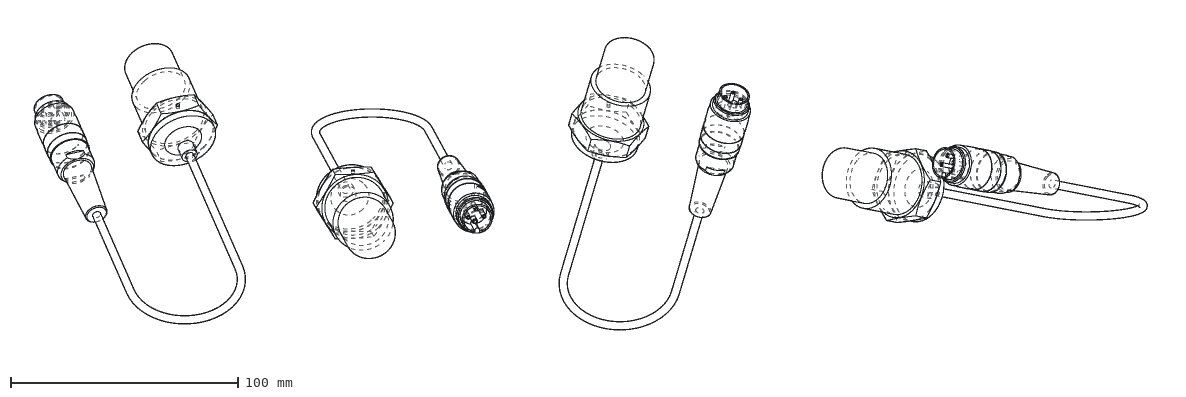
import cadquery as cq
import math

overall_length = 160.8
plug_spacing = 50.0
bend_radius = plug_spacing / 2
cable_dia = 3.7
plug_y = -plug_spacing
bend_x = overall_length - bend_radius - cable_dia / 2

nose_end = 19.5
hex_start = 39.4
hex_end = 48.5
flange_end = 52.1
cone_end = 55.8
sensor_end = 61.8
sensor_nose_dia = 22.5
sensor_nose_fillet = 2.1
sensor_body_dia = 27.0
hex_flats = 30.0
flange_dia = hex_flats
boss_dia = 7.0
cone_base_dia = 17.0
hex_corner_dia = hex_flats / math.cos(math.pi / 6)
hex_bevel_length = 1.1
hex_bevel_start_dia = 29.8
vent_dia = 1.5
vent_depth = 1.6
vent_x = 44.4

plug_front = 13.7
collar_start = 18.7
collar_bevel = 0.5
grip_start = 21.9
first_ring_start, first_ring_end = 25.7, 32.3
second_ring_start, second_ring_end = 35.0, 41.0
ring_bevel = 0.6
grip_end = 44.9
bevel_start = 54.0
relief_start = 56.0
relief_end = 84.3
relief_end_chamfer = 0.5
plug_nose_dia = 13.5
collar_dia = 16.1
grip_dia = 18.2
ring_dia = 18.5
rear_dia = 17.2
bevel_end_dia = 15.1
relief_start_dia = 13.0
relief_end_dia = 10.0
wrench_flats = 15.1
wrench_flat_start = 52.0

bore_dia = 12.0
bore_depth = 10.0
key_dia = 2.3
key_offset = 5.5
contact_tip_chamfer = 0.39
contact_recess = 2.1
contact_offset = 3.5
contact_dia = 1.8
wide_contact_recess = 5.5
wide_contact_offset = 3.2
wide_contact_dia = 2.3


def cylinder(x_start, x_end, diameter, y=0, z=0):
    """Cylinder along +X with its axis at the given Y and Z."""
    plane = cq.Workplane("YZ", origin=(x_start, y, z))
    return plane.circle(diameter / 2).extrude(x_end - x_start)


def turned(profile, y=0):
    """Solid of revolution about an axis along X, from (x, diameter) points."""
    outline = [(profile[0][0], 0)]
    outline += [(x, diameter / 2) for x, diameter in profile]
    outline += [(profile[-1][0], 0)]
    section = cq.Workplane("XY").polyline(outline).close()
    return section.revolve(360, (0, 0), (1, 0)).translate((0, y, 0))


def make_hex():
    """Hexagon with flats on +Z and -Z, its corners bevelled on both faces."""
    length = hex_end - hex_start
    prism = cq.Workplane("YZ", origin=(hex_start, 0, 0)).polygon(6, hex_corner_dia).extrude(length)
    envelope = turned([
        (hex_start, hex_bevel_start_dia),
        (hex_start + hex_bevel_length, hex_corner_dia),
        (hex_end - hex_bevel_length, hex_corner_dia),
        (hex_end, hex_bevel_start_dia),
    ])
    return prism.intersect(envelope)


def make_sensor():
    nose = cylinder(0, nose_end, sensor_nose_dia).faces("<X").edges().fillet(sensor_nose_fillet)
    body = cylinder(nose_end, hex_start, sensor_body_dia)
    back = turned([
        (hex_end, flange_dia),
        (flange_end, flange_dia),
        (flange_end, cone_base_dia),
        (cone_end, boss_dia),
        (sensor_end, boss_dia),
    ])
    vent_floor = hex_flats / 2 - vent_depth
    vent = cq.Workplane("XY", origin=(vent_x, 0, vent_floor)).circle(vent_dia / 2).extrude(vent_depth)
    return nose.union(body).union(make_hex()).union(back).cut(vent)


def make_plug_shell():
    return turned([
        (plug_front, plug_nose_dia),
        (collar_start, plug_nose_dia),
        (collar_start, collar_dia - 2 * collar_bevel),
        (collar_start + collar_bevel, collar_dia),
        (grip_start, collar_dia),
        (grip_start, grip_dia),
        (first_ring_start, grip_dia),
        (first_ring_start + ring_bevel, ring_dia),
        (first_ring_end - ring_bevel, ring_dia),
        (first_ring_end, grip_dia),
        (second_ring_start, grip_dia),
        (second_ring_start, ring_dia),
        (second_ring_end, ring_dia),
        (second_ring_end, grip_dia),
        (grip_end, grip_dia),
        (grip_end, rear_dia),
        (bevel_start, rear_dia),
        (relief_start, bevel_end_dia),
        (relief_start, relief_start_dia),
        (relief_end - relief_end_chamfer, relief_end_dia),
        (relief_end, relief_end_dia - 2 * relief_end_chamfer),
    ], plug_y)


def cut_wrench_flats(shell):
    """Two flats, on +Z and -Z, at the back of the plug shell."""
    length = relief_start - wrench_flat_start
    middle_x = (wrench_flat_start + relief_start) / 2
    for side in (1, -1):
        block_z = side * (wrench_flats + rear_dia) / 2
        block = cq.Workplane("XY").box(length, rear_dia, rear_dia)
        shell = shell.cut(block.translate((middle_x, plug_y, block_z)))
    return shell


def make_plug():
    bore_end = plug_front + bore_depth
    bore = cylinder(plug_front, bore_end, bore_dia, plug_y)
    key = cylinder(plug_front, bore_end, key_dia, plug_y, -key_offset)
    return cut_wrench_flats(make_plug_shell()).cut(bore.cut(key))


def make_contact(y_offset, z_offset, diameter, recess):
    """Contact pin standing on the bore floor, offset from the plug axis; its tip is recessed in the bore."""
    pin = cylinder(plug_front + recess, plug_front + bore_depth, diameter, plug_y + y_offset, z_offset)
    return pin.faces("<X").chamfer(contact_tip_chamfer)


def make_cable():
    """Round cable from the sensor boss, around the half-circle bend, to the plug."""
    path = (
        cq.Workplane("XY")
        .moveTo(sensor_end, 0)
        .lineTo(bend_x, 0)
        .threePointArc((bend_x + bend_radius, plug_y / 2), (bend_x, plug_y))
        .lineTo(relief_end, plug_y)
    )
    return cq.Workplane("YZ", origin=(sensor_end, 0, 0)).circle(cable_dia / 2).sweep(path)


sensor = make_sensor()
plug = make_plug()
cable = make_cable()
contacts = [
    make_contact(y_side * contact_offset, z_side * contact_offset, contact_dia, contact_recess)
    for y_side, z_side in ((1, 0), (0, 1), (-1, 0))
]
wide_contact = make_contact(0, -wide_contact_offset, wide_contact_dia, wide_contact_recess)

result = cq.Compound.makeCompound([
    sensor.val(),
    plug.val(),
    cable.val(),
    *[contact.val() for contact in contacts],
    wide_contact.val(),
])